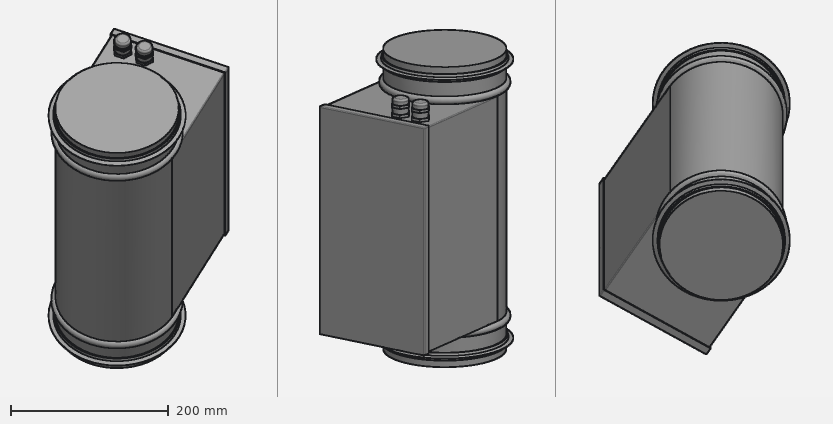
import cadquery as cq
import math


duct_length = 400.0
duct_radius = 78.5
half_length = duct_length / 2

seal_depth = 14.5
seal_collar_radius = 80.0
seal_collar_height = 10.5
seal_root_radius = 81.0
seal_root_height = 3.0
seal_lip_radius = 87.0
seal_lip_thickness = 0.5

bead_depth = 44.5
bead_radius = 5.0

box_half_width = 79.0
box_height = 301.0
box_front = -3.5
box_back = 164.0
edge_radius = 1.0

cover_back = 165.0
cover_depth = 11.0
cover_overhang = 1.5

gland_x_positions = (-54.0, -23.5)
gland_y = 134.5
gland_diameter = 21.0
gland_height = 24.0
gland_crown_radius = 3.0
nut_flats = 21.5
nut_corners = nut_flats / math.cos(math.pi / 6)
nut_height = 4.0
upper_nut_offset = 12.0


def make_seal():
    """Seal ring at the top end: a collar with a thin tapering lip."""
    profile_above_center = [
        (seal_collar_radius, seal_collar_height / 2),
        (seal_root_radius, seal_root_height / 2),
        (seal_lip_radius, seal_lip_thickness / 2),
    ]
    profile_below_center = [(r, -z) for r, z in reversed(profile_above_center)]
    half_collar = seal_collar_height / 2
    profile = [(0, half_collar)] + profile_above_center + profile_below_center + [(0, -half_collar)]
    ring = cq.Workplane("XZ").polyline(profile).close().revolve(360, (0, 0), (0, 1))
    return ring.translate((0, 0, half_length - seal_depth))


def make_bead():
    """Stop bead at the top end, a disk whose half-round rim stands out from the duct wall."""
    profile = (
        cq.Workplane("XZ")
        .moveTo(0, -bead_radius)
        .lineTo(duct_radius, -bead_radius)
        .threePointArc((duct_radius + bead_radius, 0), (duct_radius, bead_radius))
        .lineTo(0, bead_radius)
        .close()
    )
    bead = profile.revolve(360, (0, 0), (0, 1))
    return bead.translate((0, 0, half_length - bead_depth))


def make_duct():
    duct = cq.Workplane("XY").circle(duct_radius).extrude(half_length, both=True)
    for ring in (make_seal(), make_bead()):
        duct = duct.union(ring).union(ring.mirror("XY"))
    return duct


def make_rounded_block(half_width, front, back, height):
    """Block centered on X and Z, with rounded back edges and rounded edges along Y."""
    block = cq.Workplane("XY").box(2 * half_width, back - front, height)
    block = block.edges("|Y or >Y").fillet(edge_radius)
    return block.translate((0, (front + back) / 2, 0))


def make_box():
    body = make_rounded_block(box_half_width, box_front, box_back, box_height)
    cover = make_rounded_block(
        box_half_width + cover_overhang,
        cover_back - cover_depth,
        cover_back,
        box_height + 2 * cover_overhang,
    )
    return body.union(cover)


def make_nut():
    nut = cq.Workplane("XY").polygon(6, nut_corners)
    return nut.extrude(nut_height)


def make_gland():
    """Cable gland standing on Z = 0, with a rounded crown and two hexagon nuts."""
    gland = cq.Workplane("XY").circle(gland_diameter / 2).extrude(gland_height)
    gland = gland.faces(">Z").edges().fillet(gland_crown_radius)
    for offset in (0, upper_nut_offset):
        gland = gland.union(make_nut().translate((0, 0, offset)))
    return gland


result = make_duct().union(make_box())
for gland_x in gland_x_positions:
    result = result.union(make_gland().translate((gland_x, gland_y, box_height / 2)))